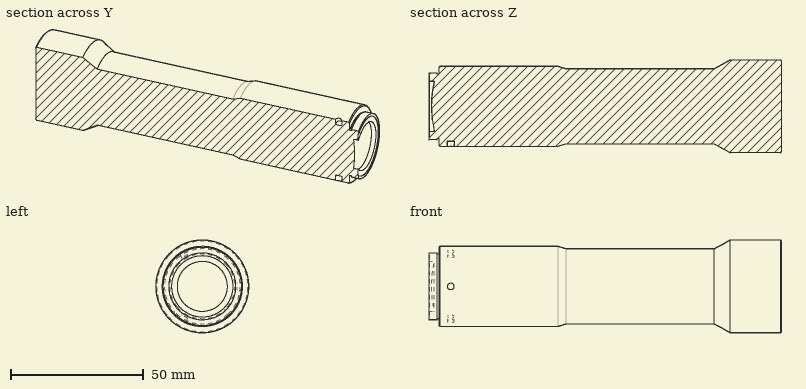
import cadquery as cq

total_length = 132.7
stub_end = 3.0
sleeve_start = 3.7
sleeve_end = 48.5
taper_end = 51.6
flare_start = 107.3
head_start = 113.3

stub_radius = 12.6
neck_radius = 12.2
sleeve_radius = 15.1
tube_radius = 14.2
head_radius = 17.5
edge_chamfer = 0.4

rim_step_radius = 11.5
rim_step_depth = 0.1
recess_depth = 2.0
lens_radius = 9.4
lens_height = 1.0

screw_hole_count = 3
screw_hole_diameter = 2.5
screw_hole_depth = 2.0
screw_hole_x = 8.2


def turned_body():
    """Solid of revolution about X, including the recess and the lens dome."""
    lens_apex_x = recess_depth - lens_height
    dome_radius = (lens_radius**2 + lens_height**2) / (2 * lens_height)
    mid_radius = lens_radius / 2
    mid_x = lens_apex_x + dome_radius - (dome_radius**2 - mid_radius**2) ** 0.5
    profile = (
        cq.Workplane("XY")
        .moveTo(lens_apex_x, 0)
        .threePointArc((mid_x, mid_radius), (recess_depth, lens_radius))
        .lineTo(rim_step_depth, lens_radius)
        .lineTo(rim_step_depth, rim_step_radius)
        .lineTo(0, rim_step_radius)
        .lineTo(0, stub_radius)
        .lineTo(stub_end, stub_radius)
        .lineTo(stub_end, neck_radius)
        .lineTo(sleeve_start, neck_radius)
        .lineTo(sleeve_start, sleeve_radius - edge_chamfer)
        .lineTo(sleeve_start + edge_chamfer, sleeve_radius)
        .lineTo(sleeve_end, sleeve_radius)
        .lineTo(taper_end, tube_radius)
        .lineTo(flare_start, tube_radius)
        .lineTo(head_start, head_radius)
        .lineTo(total_length - edge_chamfer, head_radius)
        .lineTo(total_length, head_radius - edge_chamfer)
        .lineTo(total_length, 0)
        .close()
    )
    return profile.revolve(360, (0, 0, 0), (1, 0, 0))


def screw_hole(angle):
    """Blind radial hole cutter, turned about X from the -Y direction."""
    floor_radius = sleeve_radius - screw_hole_depth
    cutter = cq.Solid.makeCylinder(
        screw_hole_diameter / 2,
        2 * screw_hole_depth,
        cq.Vector(screw_hole_x, -floor_radius, 0),
        cq.Vector(0, -1, 0),
    )
    return cutter.rotate(cq.Vector(0, 0, 0), cq.Vector(1, 0, 0), angle)


result = turned_body()
for index in range(screw_hole_count):
    result = result.cut(cq.Workplane(screw_hole(index * 360 / screw_hole_count)))